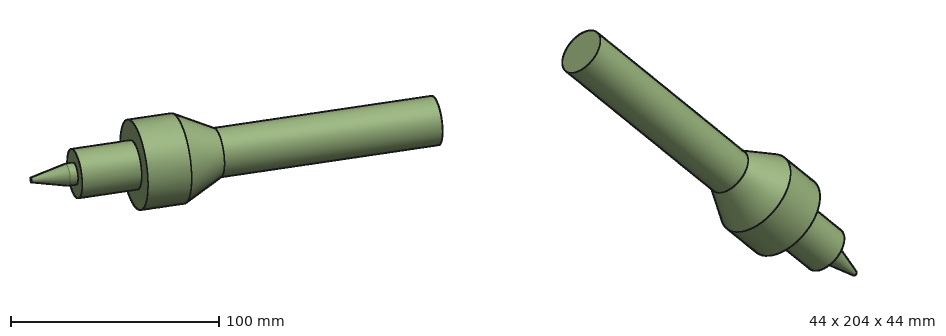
import cadquery as cq

total_length = 204.0
tip_length = 18.0
tip_base_length = 4.0
nose_length = 30.0
collar_length = 22.0
taper_length = 19.8

shaft_diameter = 24.0
collar_diameter = 44.0
tip_base_diameter = 10.8
tip_end_diameter = 2.5

shaft_radius = shaft_diameter / 2
collar_radius = collar_diameter / 2
tip_base_radius = tip_base_diameter / 2
tip_end_radius = tip_end_diameter / 2

tip_base_start = tip_length
nose_start = tip_base_start + tip_base_length
collar_start = nose_start + nose_length
taper_start = collar_start + collar_length
shaft_start = taper_start + taper_length

profile = (
    cq.Workplane("XY")
    .moveTo(0, 0)
    .lineTo(tip_end_radius, 0)
    .lineTo(tip_base_radius, tip_base_start)
    .lineTo(tip_base_radius, nose_start)
    .lineTo(shaft_radius, nose_start)
    .lineTo(shaft_radius, collar_start)
    .lineTo(collar_radius, collar_start)
    .lineTo(collar_radius, taper_start)
    .lineTo(shaft_radius, shaft_start)
    .lineTo(shaft_radius, total_length)
    .lineTo(0, total_length)
    .close()
)

result = profile.revolve(360, (0, 0, 0), (0, 1, 0))